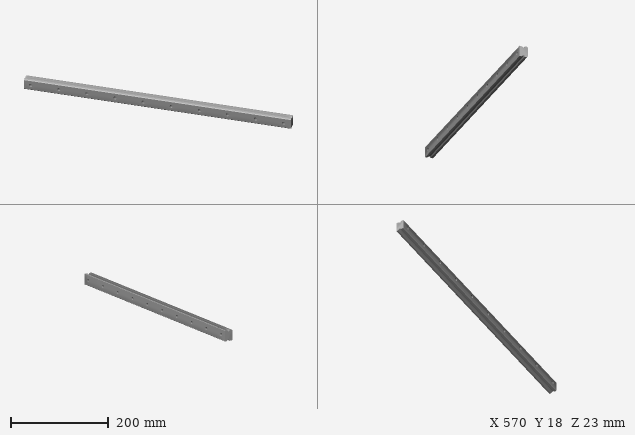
import cadquery as cq
import math

length = 570.0
height = 18.0
width = 23.0

base_chamfer = 1.5
head_chamfer = 0.5

groove_depth = 3.0
groove_wall_top_y = -2.4
groove_floor_start_y = -1.0
groove_floor_end_y = 0.1
groove_slope_angle = 30.0

hole_diameter = 7.0
hole_pitch = 60.0
hole_count = 10


def rail_body():
    """Solid rail with chamfered long edges, centred on the origin."""
    body = cq.Workplane("XY").box(length, height, width)
    body = body.faces("<Y").edges("|X").chamfer(base_chamfer)
    return body.faces(">Y").edges("|X").chamfer(head_chamfer)


def side_groove(side):
    """Groove with a steep wall towards the base and a gentler slope towards the head."""
    side_z = side * width / 2
    floor_z = side * (width / 2 - groove_depth)
    slope_run = groove_depth / math.tan(math.radians(groove_slope_angle))
    outline = [
        (groove_wall_top_y, side_z),
        (groove_floor_start_y, floor_z),
        (groove_floor_end_y, floor_z),
        (groove_floor_end_y + slope_run, side_z),
    ]
    return cq.Workplane("YZ").polyline(outline).close().extrude(length / 2, both=True)


def mounting_holes():
    """Row of plain through holes along the centre of the base."""
    row = cq.Workplane("XZ").rarray(hole_pitch, 1, hole_count, 1)
    return row.circle(hole_diameter / 2).extrude(height / 2, both=True)


result = rail_body()
for side in (1, -1):
    result = result.cut(side_groove(side))
result = result.cut(mounting_holes())